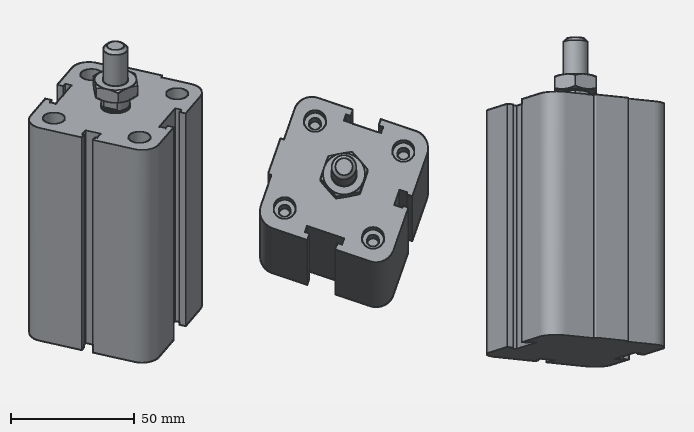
import cadquery as cq
import math

HOUSING_SIDE = 57.0
HOUSING_HEIGHT = 100.5
CORNER_RADIUS = 7.5
CAP_HEIGHT = 14.5
HALF_SIDE = HOUSING_SIDE / 2

RAIL_WIDTH = 15.5
RAIL_HEIGHT = 1.5
RAIL_EDGE_FILLET = 0.4

SIDE_SLOT_MOUTH = 12.0
SIDE_SLOT_WIDTH = 16.0
SIDE_SLOT_LIP = 2.75
SIDE_SLOT_DEPTH = 5.5
FRONT_SLOT_MOUTH = 5.0
FRONT_SLOT_WIDTH = 6.7
FRONT_SLOT_LIP = 2.4
FRONT_SLOT_DEPTH = 5.8

SCREW_SPACING = 38.0
SCREW_HOLE_DIAMETER = 4.92
COUNTERBORE_DIAMETER = 9.0
COUNTERBORE_DEPTH = 6.1
SCREW_HOLE_DEPTH = CAP_HEIGHT

TOTAL_HEIGHT = 129.0
ROD_SOCKET_DEPTH = CAP_HEIGHT
COLLAR_DIAMETER = 12.0
COLLAR_HEIGHT = 1.0
SHANK_DIAMETER = 11.7
COLLAR_TAPER_HEIGHT = 0.3
SHANK_TOP = 106.7
FLATS_WIDTH = 10.0
FLATS_START = 1.5
THREAD_DIAMETER = 10.0
THREAD_CHAMFER = 1.5

NUT_ACROSS_FLATS = 17.0
NUT_HEIGHT = 6.0
NUT_TOP = 113.0
NUT_BOTTOM = NUT_TOP - NUT_HEIGHT
NUT_FACE_DIAMETER = NUT_ACROSS_FLATS
NUT_CHAMFER_ANGLE = 30.0
NUT_BORE_CHAMFER = 0.25


def t_slot(mouth, width, lip, depth):
    """T-slot cutter for the -Y face, running the full housing height."""
    neck = (
        cq.Workplane("XY")
        .rect(mouth, 2 * depth)
        .extrude(HOUSING_HEIGHT)
    )
    undercut = (
        cq.Workplane("XY")
        .center(0, (lip + depth) / 2)
        .rect(width, depth - lip)
        .extrude(HOUSING_HEIGHT)
    )
    return neck.union(undercut).translate((0, -HALF_SIDE, 0))


def make_housing():
    body = (
        cq.Workplane("XY")
        .rect(HOUSING_SIDE, HOUSING_SIDE)
        .extrude(HOUSING_HEIGHT)
        .edges("|Z")
        .fillet(CORNER_RADIUS)
    )

    rail = (
        cq.Workplane("XY")
        .center(0, HALF_SIDE)
        .rect(RAIL_WIDTH, 2 * RAIL_HEIGHT)
        .extrude(HOUSING_HEIGHT)
        .edges("|Z and >Y")
        .fillet(RAIL_EDGE_FILLET)
    )
    body = body.union(rail)

    body = body.cut(t_slot(FRONT_SLOT_MOUTH, FRONT_SLOT_WIDTH, FRONT_SLOT_LIP, FRONT_SLOT_DEPTH))
    side_slot = t_slot(SIDE_SLOT_MOUTH, SIDE_SLOT_WIDTH, SIDE_SLOT_LIP, SIDE_SLOT_DEPTH)
    for turn in (-90, 90):
        body = body.cut(side_slot.rotate((0, 0, 0), (0, 0, 1), turn))

    body = (
        body.faces(">Z")
        .workplane(origin=(0, 0, HOUSING_HEIGHT))
        .rect(SCREW_SPACING, SCREW_SPACING, forConstruction=True)
        .vertices()
        .cboreHole(SCREW_HOLE_DIAMETER, COUNTERBORE_DIAMETER, COUNTERBORE_DEPTH, SCREW_HOLE_DEPTH)
    )

    socket = (
        cq.Workplane("XY", origin=(0, 0, HOUSING_HEIGHT - ROD_SOCKET_DEPTH))
        .circle(COLLAR_DIAMETER / 2)
        .extrude(ROD_SOCKET_DEPTH)
    )
    return body.cut(socket)


def make_rod():
    collar = (
        cq.Workplane("XY", origin=(0, 0, HOUSING_HEIGHT - ROD_SOCKET_DEPTH))
        .circle(COLLAR_DIAMETER / 2)
        .extrude(ROD_SOCKET_DEPTH + COLLAR_HEIGHT)
        .faces(">Z")
        .chamfer(COLLAR_TAPER_HEIGHT, (COLLAR_DIAMETER - SHANK_DIAMETER) / 2)
    )

    collar_top = HOUSING_HEIGHT + COLLAR_HEIGHT
    shank = (
        cq.Workplane("XY", origin=(0, 0, collar_top))
        .circle(SHANK_DIAMETER / 2)
        .extrude(SHANK_TOP - collar_top)
    )

    flats_bottom = HOUSING_HEIGHT + FLATS_START
    flats_height = SHANK_TOP - flats_bottom
    between_flats = cq.Workplane("XY", origin=(0, 0, flats_bottom)).rect(SHANK_DIAMETER, FLATS_WIDTH)
    flats = (
        cq.Workplane("XY", origin=(0, 0, flats_bottom))
        .rect(2 * SHANK_DIAMETER, 2 * SHANK_DIAMETER)
        .extrude(flats_height)
        .cut(between_flats.extrude(flats_height))
    )
    shank = shank.cut(flats)

    thread = (
        cq.Workplane("XY", origin=(0, 0, SHANK_TOP))
        .circle(THREAD_DIAMETER / 2)
        .extrude(TOTAL_HEIGHT - SHANK_TOP)
        .faces(">Z")
        .chamfer(THREAD_CHAMFER)
    )
    return collar.union(shank).union(thread)


def make_nut():
    corner_diameter = NUT_ACROSS_FLATS / math.cos(math.radians(30))
    hexagon = (
        cq.Workplane("XY", origin=(0, 0, NUT_BOTTOM))
        .polygon(6, corner_diameter)
        .extrude(NUT_HEIGHT)
    )

    bore_radius = THREAD_DIAMETER / 2
    corner_radius = corner_diameter / 2
    face_radius = NUT_FACE_DIAMETER / 2
    bevel_height = (corner_radius - face_radius) * math.tan(math.radians(NUT_CHAMFER_ANGLE))
    blank = (
        cq.Workplane("XZ")
        .moveTo(bore_radius, NUT_BOTTOM + NUT_BORE_CHAMFER)
        .lineTo(bore_radius + NUT_BORE_CHAMFER, NUT_BOTTOM)
        .lineTo(face_radius, NUT_BOTTOM)
        .lineTo(corner_radius, NUT_BOTTOM + bevel_height)
        .lineTo(corner_radius, NUT_TOP - bevel_height)
        .lineTo(face_radius, NUT_TOP)
        .lineTo(bore_radius + NUT_BORE_CHAMFER, NUT_TOP)
        .lineTo(bore_radius, NUT_TOP - NUT_BORE_CHAMFER)
        .close()
        .revolve(360, (0, 0, 0), (0, 1, 0))
    )
    return hexagon.intersect(blank)


housing = make_housing()
rod = make_rod()
nut = make_nut()

result = cq.Compound.makeCompound([housing.val(), rod.val(), nut.val()])